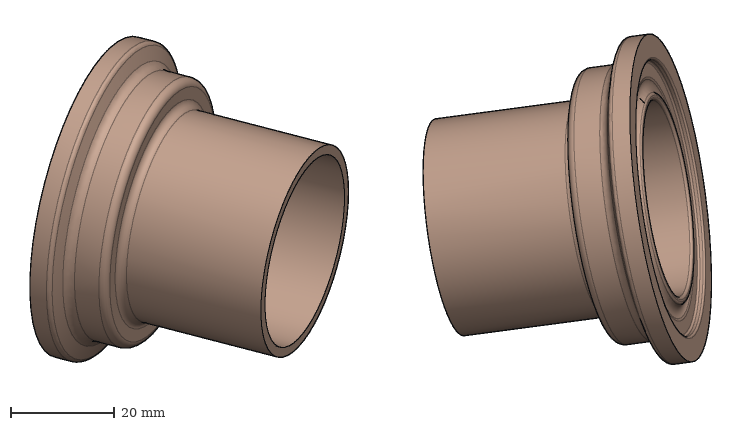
import cadquery as cq
import math


total_length = 44.0
pipe_radius = 42.4 / 2
bore_radius = 38.4 / 2

rim_radius = 64 / 2
rim_edge_x = 4.2
rim_round = 0.95
rim_back_angle = 18

hub_radius = 54.1 / 2
hub_end_x = 14.0
hub_round = 1.6
hub_root_round = 2.0
pipe_root_round = 1.65

recess_radius = 54.0 / 2
recess_depth = 1.5
recess_round = 0.415

groove_center_radius = 22.4
groove_section_radius = 1.9
groove_depth = 0.4
lip_top_x = 0.5
lip_bore_round = 0.6
lip_groove_round = 0.65
groove_edge_round = 0.95

tolerance = 0.005


def fillet_ring(body, x, radius, fillet_radius):
    """Round the circular edge centred on the axis at the given X and radius."""
    selector = cq.selectors.BoxSelector(
        (x - tolerance, -radius - tolerance, -radius - tolerance),
        (x + tolerance, radius + tolerance, radius + tolerance),
        boundingbox=True,
    )
    rings = body.edges("%CIRCLE").edges(selector).edges(cq.selectors.RadiusNthSelector(-1))
    return rings.fillet(fillet_radius)


rim_back_x = rim_edge_x + (rim_radius - hub_radius) * math.tan(math.radians(rim_back_angle))
groove_center_x = recess_depth + groove_depth - groove_section_radius

floor_offset = recess_depth - groove_center_x
lip_offset = lip_top_x - groove_center_x
groove_outer_radius = groove_center_radius + math.sqrt(groove_section_radius**2 - floor_offset**2)
groove_inner_radius = groove_center_radius - math.sqrt(groove_section_radius**2 - lip_offset**2)
groove_bottom_x = recess_depth + groove_depth

body = (
    cq.Workplane("XY")
    .moveTo(0, recess_radius)
    .lineTo(0, rim_radius)
    .lineTo(rim_edge_x, rim_radius)
    .lineTo(rim_back_x, hub_radius)
    .lineTo(hub_end_x, hub_radius)
    .lineTo(hub_end_x, pipe_radius)
    .lineTo(total_length, pipe_radius)
    .lineTo(total_length, bore_radius)
    .lineTo(lip_top_x, bore_radius)
    .lineTo(lip_top_x, groove_inner_radius)
    .threePointArc((groove_bottom_x, groove_center_radius), (recess_depth, groove_outer_radius))
    .lineTo(recess_depth, recess_radius)
    .close()
    .revolve(360, (0, 0, 0), (1, 0, 0))
)

rounds = [
    (rim_edge_x, rim_radius, rim_round),
    (rim_back_x, hub_radius, hub_root_round),
    (hub_end_x, hub_radius, hub_round),
    (hub_end_x, pipe_radius, pipe_root_round),
    (0, recess_radius, recess_round),
    (recess_depth, recess_radius, recess_round),
    (recess_depth, groove_outer_radius, groove_edge_round),
    (lip_top_x, groove_inner_radius, lip_groove_round),
    (lip_top_x, bore_radius, lip_bore_round),
]
for x, radius, fillet_radius in rounds:
    body = fillet_ring(body, x, radius, fillet_radius)

result = body